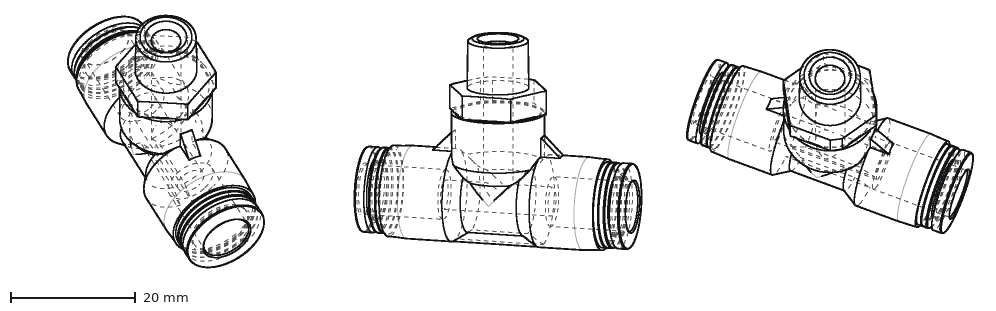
import cadquery as cq
import math


half_length = 22.4
body_radius = 15.0 / 2
waist_radius = 5.85
waist_half_length = 4.65
barrel_start = 7.25
barrel_taper_start = 14.7
barrel_end = 17.8
barrel_end_radius = 7.35

collar_radius = 13.8 / 2
collar_face_radius = 6.8
collar_face_drop = 0.35
collar_rim_end = 21.85
collar_inner_end = 20.45
collar_neck_radius = 4.97
collar_cone_radius = 5.3
collar_cone_end = 20.0
sleeve_end = 19.65
sleeve_chamfer = 0.22
sleeve_chamfer_drop = 0.1
ring_groove_outer = 18.65
ring_groove_width = 0.15
ring_groove_radius = 6.75

passage_radius = 4.7 / 2
tube_radius = 8.0 / 2
tube_stop = 8.95
tube_mouth_radius = 4.25
tube_mouth_depth = tube_mouth_radius - tube_radius

top_height = 33.8 - body_radius
socket_cone_bottom = 3.3
socket_bottom = 5.85
socket_bottom_radius = 7.45
socket_top = 14.05
hex_bottom = 14.3
hex_top = 18.2
hex_across_flats = 14.0
hex_neck_radius = 6.9
hex_face_radius = 7.7
hex_chamfer_height = 0.1
hex_corner_cut = 1.1
thread_base_radius = 4.97
thread_tip_radius = 9.7 / 2
thread_tip_chamfer = 0.4
thread_face_radius = 4.15
countersink_radius = 3.3

web_thickness = 2.0
gusset_reach = 18.05


def revolve_x(points):
    """Turn (x, radius) points about the X axis."""
    return cq.Workplane("XY").polyline(points).close().revolve(360, (0, 0, 0), (1, 0, 0))


def revolve_z(points):
    """Turn (radius, z) points about the Z axis."""
    return cq.Workplane("XZ").polyline(points).close().revolve(360, (0, 0, 0), (0, 1, 0))


def make_run_half():
    """Solid end of the run, from the middle of the waist out to the collar face."""
    ring_groove_inner = ring_groove_outer - ring_groove_width
    return revolve_x([
        (0, 0),
        (0, waist_radius),
        (waist_half_length, waist_radius),
        (barrel_start, body_radius),
        (barrel_taper_start, body_radius),
        (barrel_end, barrel_end_radius),
        (barrel_end, collar_radius),
        (ring_groove_inner, collar_radius),
        (ring_groove_inner, ring_groove_radius),
        (ring_groove_outer, ring_groove_radius),
        (ring_groove_outer, collar_radius),
        (sleeve_end - sleeve_chamfer, collar_radius),
        (sleeve_end, collar_radius - sleeve_chamfer_drop),
        (sleeve_end, collar_neck_radius),
        (collar_cone_end, collar_neck_radius),
        (collar_inner_end, collar_cone_radius),
        (collar_inner_end, collar_radius),
        (collar_rim_end, collar_radius),
        (half_length - collar_face_drop, collar_face_radius),
        (half_length, tube_mouth_radius),
        (half_length, 0),
    ])


def make_tube_bore():
    """Tube socket at one end, wider than the passage along the run."""
    return revolve_x([
        (tube_stop, 0),
        (tube_stop, tube_radius),
        (half_length - tube_mouth_depth, tube_radius),
        (half_length, tube_mouth_radius),
        (half_length, 0),
    ])


def make_socket():
    """Branch socket, ending below in a cylinder that mitres into the waist."""
    socket = revolve_z([
        (0, socket_cone_bottom),
        (waist_radius, socket_cone_bottom),
        (socket_bottom_radius, socket_bottom),
        (body_radius, socket_top),
        (0, socket_top),
    ])
    stem = cq.Workplane("XY").circle(waist_radius).extrude(socket_bottom)
    return socket.union(stem)


def make_hex():
    corner_radius = hex_across_flats / math.sqrt(3)
    height = hex_top - hex_bottom
    nut = cq.Workplane("XY").workplane(offset=hex_bottom).polygon(6, 2 * corner_radius).extrude(height)
    nut = nut.edges("|Z").edges(cq.selectors.NearestToPointSelector(
        (-corner_radius / 2, hex_across_flats / 2, (hex_bottom + hex_top) / 2)
    )).chamfer(hex_corner_cut)
    corner_envelope = revolve_z([
        (0, hex_bottom),
        (corner_radius, hex_bottom),
        (corner_radius, hex_top - hex_chamfer_height),
        (hex_face_radius, hex_top),
        (0, hex_top),
    ])
    return nut.intersect(corner_envelope)


def make_thread():
    """Plain tapered thread body, with the neck that carries the hexagon."""
    return revolve_z([
        (0, socket_bottom),
        (hex_neck_radius, socket_bottom),
        (hex_neck_radius, hex_bottom),
        (thread_base_radius, hex_bottom),
        (thread_base_radius, hex_top),
        (thread_tip_radius, top_height - thread_tip_chamfer),
        (thread_face_radius, top_height),
        (0, top_height),
    ])


def make_branch_bore():
    countersink_depth = countersink_radius - passage_radius
    return revolve_z([
        (0, 0),
        (passage_radius, 0),
        (passage_radius, top_height - countersink_depth),
        (countersink_radius, top_height),
        (0, top_height),
    ])


def make_webs():
    """Sloping gussets beside the socket and a flat web under the waist."""
    gussets = (
        cq.Workplane("XZ")
        .polyline([(-gusset_reach, 0), (0, gusset_reach), (gusset_reach, 0)])
        .close()
        .extrude(web_thickness / 2, both=True)
    )
    gusset_top = gusset_reach - body_radius
    gusset_half_length = gusset_reach - waist_radius
    gusset_limit = (
        cq.Workplane("XY")
        .box(2 * gusset_half_length, web_thickness, gusset_top, centered=(True, True, False))
    )
    under_web = (
        cq.Workplane("XY")
        .box(2 * barrel_start, web_thickness, body_radius, centered=(True, True, False))
        .translate((0, 0, -body_radius))
    )
    barrel_envelope = cq.Workplane("YZ").circle(body_radius).extrude(barrel_start, both=True)
    return gussets.intersect(gusset_limit).union(under_web.intersect(barrel_envelope))


run_half = make_run_half()
tube_bore = make_tube_bore()
passage = cq.Workplane("YZ").circle(passage_radius).extrude(half_length, both=True)

result = run_half.union(run_half.mirror("YZ"))
for solid in (make_socket(), make_thread(), make_hex(), make_webs()):
    result = result.union(solid)
for bore in (passage, tube_bore, tube_bore.mirror("YZ"), make_branch_bore()):
    result = result.cut(bore)